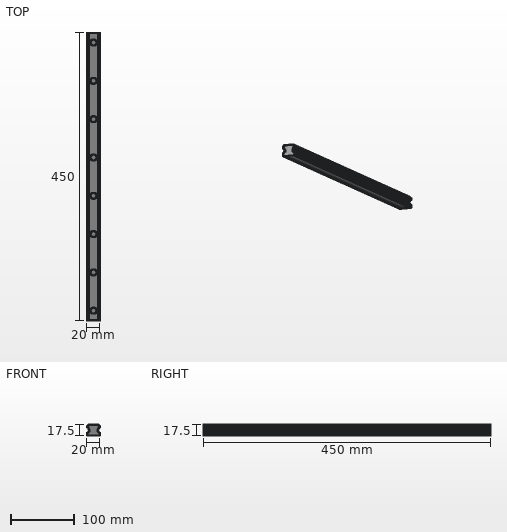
import cadquery as cq
import math

rail_length = 450.0
rail_width = 20.0
rail_height = 17.5

head_chamfer = 2.7
head_side_height = 1.15
head_underside_z = 10.4

neck_width = 14.6
neck_bottom_z = 9.2
waist_width = 12.8
waist_top_z = 9.0
waist_bottom_z = 7.5

foot_chamfer = 1.1
foot_slope_drop = (rail_width - waist_width) / 2

upper_groove_width = 2.3
upper_groove_depth = 0.48
lower_groove_width = 1.85
lower_groove_depth = 0.6

hole_diameter = 9.5
cap_recess_depth = 0.3
hole_pitch = 60.0
hole_count = 8


def add_grooved_slope(outline, start, end, groove_width, groove_depth):
    """Draw a slope from start to end with a round ball groove sunk into its middle."""
    slope_length = math.dist(start, end)
    along_x = (end[0] - start[0]) / slope_length
    along_z = (end[1] - start[1]) / slope_length
    middle_x = (start[0] + end[0]) / 2
    middle_z = (start[1] + end[1]) / 2
    reach_x = along_x * groove_width / 2
    reach_z = along_z * groove_width / 2
    groove_bottom = (middle_x - along_z * groove_depth, middle_z + along_x * groove_depth)
    return (
        outline.lineTo(middle_x - reach_x, middle_z - reach_z)
        .threePointArc(groove_bottom, (middle_x + reach_x, middle_z + reach_z))
        .lineTo(*end)
    )


def make_rail():
    """Extrude the right half of the section over the full length and mirror it."""
    half_width = rail_width / 2
    half_neck = neck_width / 2
    half_waist = waist_width / 2
    head_side_top = (half_width, rail_height - head_chamfer)
    head_side_bottom = (half_width, rail_height - head_chamfer - head_side_height)
    underside_start = (half_neck, head_underside_z)
    top_edge = (half_width - head_chamfer, rail_height)

    outline = (
        cq.Workplane("XZ")
        .lineTo(half_width - foot_chamfer, 0)
        .lineTo(half_width, foot_chamfer)
        .lineTo(half_width, waist_bottom_z - foot_slope_drop)
        .lineTo(half_waist, waist_bottom_z)
        .lineTo(half_waist, waist_top_z)
        .lineTo(half_neck, neck_bottom_z)
        .lineTo(*underside_start)
    )
    outline = add_grooved_slope(
        outline, underside_start, head_side_bottom, lower_groove_width, lower_groove_depth
    )
    outline = outline.lineTo(*head_side_top)
    outline = add_grooved_slope(
        outline, head_side_top, top_edge, upper_groove_width, upper_groove_depth
    )
    outline = outline.lineTo(0, rail_height).close()

    right_half = outline.extrude(rail_length / 2, both=True)
    return right_half.union(right_half.mirror("YZ")).clean()


def cut_cap_recesses(rail):
    """Sink a shallow round recess at every mounting hole."""
    recesses = (
        cq.Workplane("XY")
        .workplane(offset=rail_height - cap_recess_depth)
        .rarray(rail_width, hole_pitch, 1, hole_count)
        .circle(hole_diameter / 2)
        .extrude(cap_recess_depth)
    )
    return rail.cut(recesses)


result = cut_cap_recesses(make_rail())